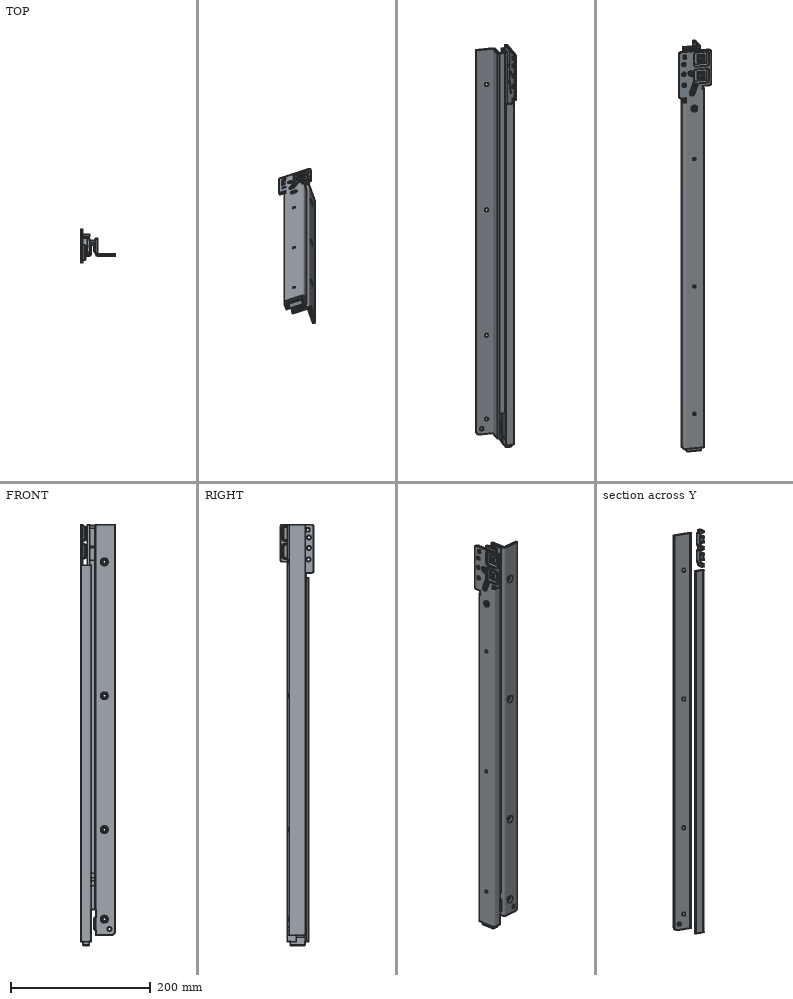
import cadquery as cq
import math


TOTAL_WIDTH = 49.09
PLATE_BREADTH = 48.0
TOP = 603.75
SHEET = 3.0
CUT_MARGIN = 1.0

PLATE_EDGE = PLATE_BREADTH / 2
PLATE_LONG_SIDE = 69.5
PLATE_SHORT_SIDE = 53.5
PLATE_CORNER = 3.3
PLATE_HOLE_DIAMETER = 5.5
PLATE_HOLES = [(15.3, 7.5), (17.0, 18.5), (17.0, 33.5), (16.3, 50.0)]

RAIL_BOTTOM = 5.5
RAIL_LEFT = 17.0
RAIL_RIGHT = -14.3
RAIL_CENTRE = 1.2
RAIL_BEND = 3.5
WEB_LEFT = RAIL_LEFT - RAIL_BEND
WEB_RIGHT = RAIL_RIGHT + RAIL_BEND
LEFT_FLANGE_REACH = 12.8
RIGHT_FLANGE_REACH = 14.8
LIP_BEND = 3.4
LIP_THICKNESS = 2.4
LIP_END = -1.0
LEFT_FLANGE_DROP = 76.5
RIGHT_FLANGE_DROP = 58.3
BEND_RELIEF = 1.0

WEB_BORE_DIAMETER = 9.0
WEB_BORE_DEPTH = 1.5
WEB_BORE_HOLE_DIAMETER = 4.0
WEB_BORE_DROP = 86.5
WEB_HOLE_DIAMETER = 4.0
WEB_HOLE_FIRST_DROP = 162.5
HOLE_PITCH = 192.0
WEB_HOLE_COUNT = 3

CUP_CENTRE_Y = -9.4
CUP_BREADTH = 23.0
CUP_HEIGHT = 21.8
CUP_DROPS = [12.8, 38.3]
CUP_REACH = 7.0
CUP_CORNER = 4.0
CUP_TAPER = 22.0
CUP_WALL = 1.5
CUP_FLOOR = 1.6
CUP_POST = 10.0
CUP_POST_BORE = 5.5

SLOT_WIDTH = 7.0
SLOT_DEPTH = 1.2
SLOT_LEDGE = 1.8
SLOT_RUNS = [((4.6, 63.0), (-1.5, 47.0)), ((6.6, 33.0), (0.5, 36.0))]

STOP_REACH = 12.0
STOP_LEFT = 11.7
STOP_RIGHT = -10.0
STOP_TOP = 12.0
STOP_CHAMFER = 1.0

HEAD_NEAR = 9.0
HEAD_FAR = RIGHT_FLANGE_REACH - LIP_THICKNESS
HEAD_LEFT = 10.4
HEAD_RIGHT = -9.0
NECK_LEFT = 8.2
NECK_RIGHT = 0.8
NECK_BOTTOM = 51.4
NECK_TOP_DROP = 1.0
NECK_TOP_SLOPE = 4.0
NECK_GROOVES = [(31.0, 33.5, 1.5), (33.5, 51.0, 0.6), (500.0, 506.5, 1.0), (511.0, 518.0, 1.0)]
FOOT_THICKNESS = 1.4
FOOT_LEFT = 9.6
FOOT_RIGHT = -8.6

LEG_NEAR = 21.4
LEG_LEFT = 11.5
BRACKET_BOTTOM = 15.0
FLANGE_FACE = -14.3
BRACKET_BEND = 2.8
BEND_INSIDE = 0.2
FLANGE_CORNER = 5.0
SCREW_HOLE_X = 33.7
SCREW_HOLE_DIAMETER = 5.0
SCREW_HEAD_DIAMETER = 10.6
SCREW_HEAD_ANGLE = 90.0
FIRST_SCREW_DROP = 53.5
LAST_SCREW_DROP = 566.0
SCREW_HOLE_DROPS = [FIRST_SCREW_DROP + index * HOLE_PITCH for index in range(3)] + [LAST_SCREW_DROP]
SMALL_HOLE_X = 41.0
SMALL_HOLE_Z = 23.8
SMALL_HOLE_DIAMETER = 5.5
BUMP_HEIGHT = 3.0
BUMP_BOTTOM = 22.0
BUMP_TOP = 40.5
BUMP_LEFT = 9.5
BUMP_RIGHT = -9.5
BUMP_CHAMFER = 1.7


def box(x_range, y_range, z_range):
    """Box spanning the given (start, end) ranges."""
    size = [abs(end - start) for start, end in (x_range, y_range, z_range)]
    corner = (min(x_range), min(y_range), min(z_range))
    return cq.Workplane("XY").box(*size, centered=False).translate(corner)


def on_wall(x, y, drop):
    """Sketch plane facing away from the wall: local x is Y, local y is Z, extrusion goes to +X."""
    return cq.Workplane("YZ", origin=(x, y, TOP - drop))


def cylinder_x(y, drop, diameter, start, length):
    """Cylinder along X."""
    return on_wall(start, y, drop).circle(diameter / 2).extrude(length)


def mounting_plate():
    plate = (
        on_wall(0, 0, 0)
        .polyline([
            (-PLATE_EDGE, 0),
            (PLATE_EDGE, 0),
            (PLATE_EDGE, -PLATE_LONG_SIDE),
            (RAIL_CENTRE, -PLATE_LONG_SIDE),
            (RAIL_CENTRE, -PLATE_SHORT_SIDE),
            (-PLATE_EDGE, -PLATE_SHORT_SIDE),
        ])
        .close()
        .extrude(SHEET)
    )
    outer_corners = cq.selectors.BoxSelector(
        (-SHEET, -PLATE_BREADTH, 0), (2 * SHEET, -PLATE_EDGE + SHEET, 2 * TOP)
    ) + cq.selectors.BoxSelector(
        (-SHEET, PLATE_EDGE - SHEET, 0), (2 * SHEET, PLATE_BREADTH, 2 * TOP)
    )
    plate = plate.edges("|X").edges(outer_corners).fillet(PLATE_CORNER)
    for y, drop in PLATE_HOLES:
        plate = plate.cut(cylinder_x(y, drop, PLATE_HOLE_DIAMETER, 0, SHEET))
    return plate


def left_flange():
    """Flange on the +Y side with its rounded bend."""
    inner = RAIL_LEFT - SHEET
    return (
        cq.Workplane("XY", origin=(0, 0, RAIL_BOTTOM))
        .moveTo(0, WEB_LEFT)
        .radiusArc((RAIL_BEND, RAIL_LEFT), RAIL_BEND)
        .lineTo(LEFT_FLANGE_REACH, RAIL_LEFT)
        .lineTo(LEFT_FLANGE_REACH, inner)
        .lineTo(RAIL_BEND, inner)
        .radiusArc((SHEET, WEB_LEFT), -(RAIL_BEND - SHEET))
        .close()
        .extrude(TOP - LEFT_FLANGE_DROP - RAIL_BOTTOM)
    )


def right_flange():
    """Flange on the -Y side, ending in a lip that is rolled inward."""
    inner = RAIL_RIGHT + SHEET
    lip_start = RAIL_RIGHT + LIP_BEND
    return (
        cq.Workplane("XY", origin=(0, 0, RAIL_BOTTOM))
        .moveTo(0, WEB_RIGHT)
        .radiusArc((RAIL_BEND, RAIL_RIGHT), -RAIL_BEND)
        .lineTo(RIGHT_FLANGE_REACH - LIP_BEND, RAIL_RIGHT)
        .radiusArc((RIGHT_FLANGE_REACH, lip_start), -LIP_BEND)
        .lineTo(RIGHT_FLANGE_REACH, LIP_END)
        .lineTo(HEAD_FAR, LIP_END)
        .lineTo(HEAD_FAR, inner)
        .lineTo(RAIL_BEND, inner)
        .radiusArc((SHEET, WEB_RIGHT), RAIL_BEND - SHEET)
        .close()
        .extrude(TOP - RIGHT_FLANGE_DROP - RAIL_BOTTOM)
    )


def end_stop():
    stop = box((SHEET, STOP_REACH), (STOP_RIGHT, STOP_LEFT), (0, STOP_TOP))
    return stop.faces("<Z").edges().chamfer(STOP_CHAMFER)


def cup_block(margin, reach):
    """Tapered, round-cornered block around the cup opening, wider than it by the margin all round."""
    outline = (
        cq.Sketch()
        .rect(CUP_BREADTH + 2 * margin, CUP_HEIGHT + 2 * margin)
        .vertices()
        .fillet(CUP_CORNER + margin)
    )
    return cq.Workplane("YZ").placeSketch(outline).extrude(reach, taper=CUP_TAPER)


def cup_post():
    """Square tube standing on the cup floor."""
    length = CUP_REACH - CUP_FLOOR / 2
    return cq.Workplane("YZ").rect(CUP_POST, CUP_POST).rect(CUP_POST_BORE, CUP_POST_BORE).extrude(length)


def slot_cutter(start, end):
    """Shallow round-ended slot with a narrower, deeper slot inside it."""
    (y1, drop1), (y2, drop2) = start, end
    length = math.hypot(y2 - y1, drop2 - drop1)
    angle = math.degrees(math.atan2(drop1 - drop2, y2 - y1))
    plane = on_wall(0, (y1 + y2) / 2, (drop1 + drop2) / 2)
    wide = plane.slot2D(length + SLOT_WIDTH, SLOT_WIDTH, angle).extrude(SLOT_DEPTH)
    inner_width = SLOT_WIDTH - 2 * SLOT_LEDGE
    narrow = plane.slot2D(length + inner_width, inner_width, angle).extrude(2 * SLOT_DEPTH)
    return wide.union(narrow)


def make_wall_rail():
    web = box((0, SHEET), (WEB_RIGHT, WEB_LEFT), (RAIL_BOTTOM, TOP - BEND_RELIEF))
    rail = mounting_plate().union(web).union(left_flange()).union(right_flange()).union(end_stop())

    rail = rail.cut(cylinder_x(RAIL_CENTRE, WEB_BORE_DROP, WEB_BORE_DIAMETER, 0, WEB_BORE_DEPTH))
    rail = rail.cut(cylinder_x(RAIL_CENTRE, WEB_BORE_DROP, WEB_BORE_HOLE_DIAMETER, 0, SHEET))
    for index in range(WEB_HOLE_COUNT):
        drop = WEB_HOLE_FIRST_DROP + index * HOLE_PITCH
        rail = rail.cut(cylinder_x(RAIL_CENTRE, drop, WEB_HOLE_DIAMETER, 0, SHEET))

    for start, end in SLOT_RUNS:
        rail = rail.cut(slot_cutter(start, end))
    for drop in CUP_DROPS:
        place = (0, CUP_CENTRE_Y, TOP - drop)
        rail = rail.union(cup_block(CUP_WALL, CUP_REACH).translate(place))
        rail = rail.cut(cup_block(0, CUP_REACH - CUP_FLOOR).translate(place))
        rail = rail.union(cup_post().translate(place))
    return rail


def make_runner():
    head = box((HEAD_NEAR, HEAD_FAR), (HEAD_RIGHT, HEAD_LEFT), (STOP_TOP, TOP))
    neck_top = TOP - NECK_TOP_DROP
    foot_near = LEG_NEAR - FOOT_THICKNESS
    neck = box((HEAD_FAR, foot_near), (NECK_RIGHT, NECK_LEFT), (NECK_BOTTOM, neck_top))
    neck = neck.faces(">Z").edges("<Y").chamfer(NECK_TOP_SLOPE)
    foot = box((foot_near, LEG_NEAR), (FOOT_RIGHT, FOOT_LEFT), (NECK_BOTTOM, neck_top))
    runner = head.union(neck).union(foot)
    for upper, lower, depth in NECK_GROOVES:
        groove_y = (NECK_RIGHT, NECK_RIGHT + depth)
        runner = runner.cut(box((HEAD_FAR, foot_near), groove_y, (TOP - lower, TOP - upper)))
    return runner


def bracket_sheet():
    """L-shaped sheet: a leg against the runner and a flange standing out from it."""
    sheet = (
        cq.Workplane("XY", origin=(0, 0, BRACKET_BOTTOM))
        .moveTo(LEG_NEAR, LEG_LEFT)
        .lineTo(LEG_NEAR, FLANGE_FACE + BRACKET_BEND)
        .radiusArc((LEG_NEAR + BRACKET_BEND, FLANGE_FACE), -BRACKET_BEND)
        .lineTo(TOTAL_WIDTH, FLANGE_FACE)
        .lineTo(TOTAL_WIDTH, FLANGE_FACE + SHEET)
        .lineTo(LEG_NEAR + SHEET + BEND_INSIDE, FLANGE_FACE + SHEET)
        .radiusArc((LEG_NEAR + SHEET, FLANGE_FACE + SHEET + BEND_INSIDE), BEND_INSIDE)
        .lineTo(LEG_NEAR + SHEET, LEG_LEFT)
        .close()
        .extrude(TOP - BRACKET_BOTTOM)
    )
    return sheet.faces(">X").edges("<Z").fillet(FLANGE_CORNER)


def leg_bump():
    bump = box((LEG_NEAR - BUMP_HEIGHT, LEG_NEAR), (BUMP_RIGHT, BUMP_LEFT), (BUMP_BOTTOM, BUMP_TOP))
    return bump.faces("<X").edges().chamfer(BUMP_CHAMFER)


def make_bracket():
    bracket = bracket_sheet().union(leg_bump())
    flange_plane = cq.Workplane("XZ", origin=(0, FLANGE_FACE, 0))
    screw_points = [(SCREW_HOLE_X, TOP - drop) for drop in SCREW_HOLE_DROPS]
    through = -(SHEET + CUT_MARGIN)
    holes = flange_plane.pushPoints(screw_points).circle(SCREW_HOLE_DIAMETER / 2).extrude(through)
    head_depth = (SCREW_HEAD_DIAMETER - SCREW_HOLE_DIAMETER) / 2
    head_depth /= math.tan(math.radians(SCREW_HEAD_ANGLE / 2))
    head = cq.Solid.makeCone(
        SCREW_HEAD_DIAMETER / 2, SCREW_HOLE_DIAMETER / 2, head_depth,
        pnt=cq.Vector(0, FLANGE_FACE, 0), dir=cq.Vector(0, 1, 0),
    )
    bracket = bracket.cut(holes)
    for x, z in screw_points:
        bracket = bracket.cut(cq.Workplane(head.translate(cq.Vector(x, 0, z))))
    small = flange_plane.center(SMALL_HOLE_X, SMALL_HOLE_Z).circle(SMALL_HOLE_DIAMETER / 2).extrude(through)
    return bracket.cut(small)


wall_rail = make_wall_rail()
runner = make_runner()
bracket = make_bracket()

result = cq.Compound.makeCompound([wall_rail.val(), runner.val(), bracket.val()])